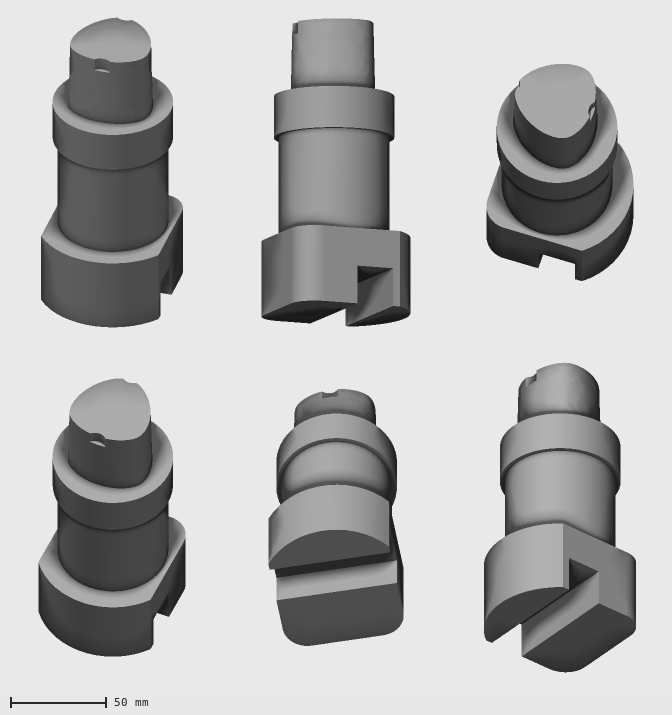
import cadquery as cq
import math

total_height = 153.0
base_height = 40.1
collar_bottom = 93.2
collar_top = 115.0

neck_diameter = 58.0
collar_diameter = 63.0

base_width = 64.0
base_back = base_width / 2
base_front_radius = 40.0
base_corner_radius = 13.0

slot_size = 20.0

shank_bottom_diameter = 44.2
taper_ratio = 1 / 20
lobe_offset = 1.5
shank_points = 48

notch_radius = 5.8
notch_height = 6.6
notch_depth = 2.1


def make_base():
    """Block with a round front, rounded back corners and a slot along X underneath."""
    half_width = base_width / 2
    side_front = -math.sqrt(base_front_radius**2 - half_width**2)
    base = (
        cq.Workplane("XY")
        .moveTo(-half_width, side_front)
        .threePointArc((0, -base_front_radius), (half_width, side_front))
        .lineTo(half_width, base_back)
        .lineTo(-half_width, base_back)
        .close()
        .extrude(base_height)
        .edges("|Z and >Y")
        .fillet(base_corner_radius)
    )
    slot = cq.Workplane("XY").box(base_width, slot_size, slot_size, centered=(True, False, False))
    return base.cut(slot.translate((0, -slot_size, 0)))


def cylinder(diameter, bottom, top):
    return cq.Workplane("XY").workplane(offset=bottom).circle(diameter / 2).extrude(top - bottom)


def lobed_point(diameter, angle):
    """Point on the three-lobed outline, which has one lobe pointing to +Y."""
    radius = diameter / 2
    along = radius * math.cos(angle) - lobe_offset * (2 * math.cos(2 * angle) - math.cos(4 * angle))
    across = radius * math.sin(angle) + lobe_offset * (2 * math.sin(2 * angle) + math.sin(4 * angle))
    return (across, -along)


def lobed_wire(workplane, diameter):
    angles = [2 * math.pi * i / shank_points for i in range(shank_points)]
    return workplane.spline([lobed_point(diameter, a) for a in angles], periodic=True).close()


def make_shank():
    """Tapered shank with a notch at its +Y lobe and another at the flat facing -Y."""
    shank_height = total_height - collar_top
    top_diameter = shank_bottom_diameter - shank_height * taper_ratio
    bottom_wire = lobed_wire(cq.Workplane("XY").workplane(offset=collar_top), shank_bottom_diameter)
    shank = lobed_wire(bottom_wire.workplane(offset=shank_height), top_diameter).loft(ruled=True)

    notch_bottom = total_height - notch_height
    for angle, outward in ((0, -1), (math.pi, 1)):
        rim_y = lobed_point(top_diameter, angle)[1]
        notch_y = rim_y + outward * (notch_radius - notch_depth)
        notch = cylinder(2 * notch_radius, notch_bottom, total_height)
        shank = shank.cut(notch.translate((0, notch_y, 0)))
    return shank


result = (
    make_base()
    .union(cylinder(neck_diameter, base_height, collar_bottom))
    .union(cylinder(collar_diameter, collar_bottom, collar_top))
    .union(make_shank())
)